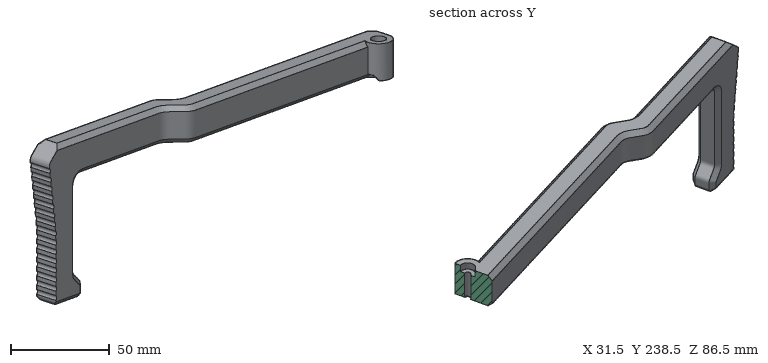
import cadquery as cq
import math

length = 238.5
height = 86.5
overall_width = 31.5

grip_bar_width = 13.4
arm_bar_width = 14.0
arm_height = 20.0
jog_angle = math.radians(45)
jog_offset = 9.5
jog_start = 89.2
jog_inner_radius = 7.6
jog_outer_radius = 8.0
end_corner_cut = 6.0
edge_chamfer = 2.6

leg_back = 19.8
toe_back = 25.5
toe_height = 7.6
toe_slope_radius = 2.9
inside_radius = 5.2

nose_setback = 8.4
nose_angle = math.radians(45)
nose_radius = 4.3
grip_setback = 4.8
grip_slope = math.radians(7.3)
grip_bend_radius = 76.4
bottom_radius = 2.9

groove_count = 15
lowest_groove = 4.8
highest_groove = 74.2
groove_width = 2.6
groove_depth = 0.6

boss_diameter = 15.0
pivot_hole = 3.3
counterbore_diameter = 8.0
counterbore_depth = 4.0
notch_depth = 2.9
notch_setback = 4.0

front_margin = 12.0
arm_bottom = height - arm_height
boss_x = overall_width - boss_diameter / 2
boss_y = length - boss_diameter / 2
arm_right = jog_offset + arm_bar_width

jog_end = jog_start + jog_offset
right_jog_start = jog_start - grip_bar_width * math.tan(jog_angle / 2)
right_jog_end = right_jog_start + arm_right - grip_bar_width


def bar_plan():
    """Top outline of the jogged bar, extruded over the full height."""
    points = [
        (0, -front_margin),
        (grip_bar_width, -front_margin),
        (grip_bar_width, right_jog_start),
        (arm_right, right_jog_end),
        (arm_right, length),
        (jog_offset, length),
        (jog_offset, jog_end),
        (0, jog_start),
    ]
    plan = cq.Workplane("XY").polyline(points).close().extrude(height)
    rounded_corners = [
        (grip_bar_width, right_jog_start, jog_inner_radius),
        (arm_right, right_jog_end, jog_outer_radius),
        (jog_offset, jog_end, jog_inner_radius),
        (0, jog_start, jog_outer_radius),
    ]
    for x, y, radius in rounded_corners:
        corner = cq.selectors.NearestToPointSelector((x, y, height / 2))
        plan = plan.edges("|Z").edges(corner).fillet(radius)
    return plan


def side_profile():
    """Side outline of arm, leg and toe, extruded across the full width."""
    toe_slope = toe_back - leg_back
    profile = (
        cq.Workplane("YZ")
        .moveTo(-front_margin, 0)
        .lineTo(toe_back - bottom_radius, 0)
        .radiusArc((toe_back, bottom_radius), -bottom_radius)
        .lineTo(toe_back, toe_height)
        .lineTo(leg_back, toe_height + toe_slope)
        .lineTo(leg_back, arm_bottom - inside_radius)
        .radiusArc((leg_back + inside_radius, arm_bottom), inside_radius)
        .lineTo(length, arm_bottom)
        .lineTo(length, height)
        .lineTo(-front_margin, height)
        .close()
    )
    solid = profile.extrude(overall_width)
    for y, z in [(toe_back, toe_height), (leg_back, toe_height + toe_slope)]:
        corner = cq.selectors.NearestToPointSelector((overall_width / 2, y, z))
        solid = solid.edges("|X").edges(corner).fillet(toe_slope_radius)
    return solid


def chamfered_bar():
    """Jogged bar with its long side edges chamfered; both ends stay sharp."""
    bar = bar_plan().intersect(side_profile())
    side_edges = cq.selectors.StringSyntaxSelector("not(|X or <Y or >Y)")
    jog_uprights = cq.selectors.BoxSelector(
        (-2.5, leg_back, arm_bottom + 2.5),
        (overall_width, length, height - 2.5),
    )
    return bar.edges(side_edges - jog_uprights).chamfer(edge_chamfer)


nose_rise = nose_radius * math.sin(nose_angle)
nose_top_y = nose_radius - nose_rise
nose_top_z = height - nose_setback + nose_top_y
nose_center_z = nose_top_z - nose_rise
nose_low_y = nose_radius * (1 - math.cos(grip_slope))
nose_low_z = nose_center_z - nose_radius * math.sin(grip_slope)

bend_corner_z = nose_low_z - (grip_setback - nose_low_y) / math.tan(grip_slope)
bend_tangent = grip_bend_radius * math.tan(grip_slope / 2)
bend_top_y = grip_setback - bend_tangent * math.sin(grip_slope)
bend_top_z = bend_corner_z + bend_tangent * math.cos(grip_slope)
bend_low_z = bend_corner_z - bend_tangent


def grip_envelope():
    """Solid bounded at the front by the nose, the grip face and the bottom round."""
    outline = (
        cq.Workplane("YZ")
        .moveTo(nose_setback, height)
        .lineTo(nose_top_y, nose_top_z)
        .radiusArc((nose_low_y, nose_low_z), -nose_radius)
        .lineTo(bend_top_y, bend_top_z)
        .radiusArc((grip_setback, bend_low_z), grip_bend_radius)
        .lineTo(grip_setback, bottom_radius)
        .radiusArc((grip_setback + bottom_radius, 0), -bottom_radius)
        .lineTo(length, 0)
        .lineTo(length, height)
        .close()
    )
    return outline.extrude(overall_width)


def grip_face_y(z):
    """Y of the grip front face at height z."""
    if z >= bend_top_z:
        return nose_low_y + (nose_low_z - z) * math.tan(grip_slope)
    if z <= bend_low_z:
        return grip_setback
    rise = z - bend_low_z
    sag = grip_bend_radius - math.sqrt(grip_bend_radius**2 - rise**2)
    return grip_setback - sag


def finger_grooves():
    """Row of shallow round-bottomed cutters running across the grip face."""
    half_width = groove_width / 2
    cutter_radius = (half_width**2 + groove_depth**2) / (2 * groove_depth)
    standoff = cutter_radius - groove_depth
    pitch = (highest_groove - lowest_groove) / (groove_count - 1)
    heights = [lowest_groove + i * pitch for i in range(groove_count)]
    centers = [(grip_face_y(z) - standoff, z) for z in heights]
    return cq.Workplane("YZ").pushPoints(centers).circle(cutter_radius).extrude(grip_bar_width)


def corner_cutter():
    """Triangular prism that bevels the -X corner at the far end of the arm."""
    return (
        cq.Workplane("XY")
        .moveTo(jog_offset, length)
        .lineTo(jog_offset + end_corner_cut, length)
        .lineTo(jog_offset, length - end_corner_cut)
        .close()
        .extrude(height)
    )


def pivot_boss():
    """Round boss with a web that squares it off along the far end of the arm."""
    base = cq.Workplane("XY").workplane(offset=arm_bottom)
    web_length = boss_x - jog_offset - end_corner_cut
    boss = base.center(boss_x, boss_y).circle(boss_diameter / 2).extrude(arm_height)
    web = (
        base.center(boss_x - web_length, boss_y)
        .rect(web_length, boss_diameter / 2, centered=False)
        .extrude(arm_height)
    )
    return boss.union(web)


def boss_notch():
    """Bevelled cutter under the boss, running diagonally outwards from the arm."""
    corner = (arm_right, length - boss_diameter + notch_setback, arm_bottom)
    diagonal = cq.Plane(origin=corner, xDir=(1, 1, 0), normal=(1, -1, 0))
    outline = [
        (-boss_diameter, 0),
        (notch_depth, 0),
        (0, notch_depth),
        (-boss_diameter, notch_depth),
    ]
    return cq.Workplane(diagonal).polyline(outline).close().extrude(boss_diameter)


lever = chamfered_bar().intersect(grip_envelope())
lever = lever.cut(finger_grooves()).cut(corner_cutter())
lever = lever.union(pivot_boss().cut(boss_notch()))

result = (
    lever.faces(">Z")
    .workplane(origin=(boss_x, boss_y, height))
    .cboreHole(pivot_hole, counterbore_diameter, counterbore_depth)
)